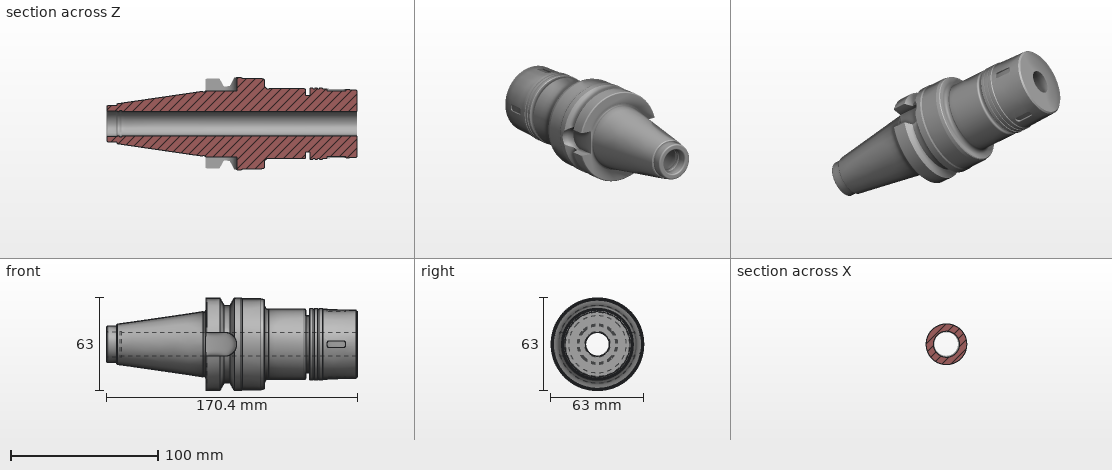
import cadquery as cq
import math


gauge_diameter = 44.45
taper_rate = 7 / 24
tail_x = -65.4
tail_diameter = 25.0
tail_fillet = 1.0
taper_start_x = -58.6
taper_start_chamfer = 0.5
relief_diameter = 43.5
relief_fillet = 1.6

flange_start_x = 2.0
flange_diameter = 63.0
flange_fillet = 0.8
groove_centre_x = 16.5
groove_bottom_width = 4.1
groove_bottom_diameter = 53.0
groove_flank_angle = math.radians(30)
rim_end_x = 26.0
body_start_x = 27.0
body_diameter = 62.0
body_end_x = 42.0
body_taper_length = 2.8
body_end_diameter = 61.0
body_end_chamfer = 0.5

neck_diameter = 48.0
neck_root_diameter = 47.6
neck_root_fillet = 2.5
neck_step_length = 0.7
neck_end_x = 70.0
neck_end_fillet = 1.2
throat_diameter = 39.0

nut_start_x = 72.6
collar_diameter = 48.8
collar_end_x = 81.6
collar_chamfer = 0.4
collar_groove_centres_x = (75.5, 78.5)
collar_groove_width = 1.0
collar_groove_diameter = 47.6
nut_large_diameter = 47.8
nut_small_diameter = 46.3
nut_end_x = 105.0
nut_end_chamfer = 1.0

bore_diameter = 16.0
tail_bore_diameter = 17.0
tail_bore_depth = 7.0
tail_bore_mouth_fillet = 1.0
bore_step_chamfer = (tail_bore_diameter - bore_diameter) / 2
bore_groove_diameter = 17.4
bore_groove_start_x = tail_x + 9.0
bore_groove_width = 1.2

drive_slot_width = 16.1
drive_slot_end_x = 23.0
drive_slot_floor = 22.6

wrench_slot_count = 4
wrench_slot_centre_x = 90.8
wrench_slot_length = 12.5
wrench_slot_width = 4.7
wrench_slot_corner = 1.6
wrench_slot_floor = 22.4


def revolve_outline(outline):
    """Close an open outline of (x, radius) and revolve it around the X axis."""
    return outline.close().revolve(360, (0, 0, 0), (1, 0, 0))


def revolve_profile(points):
    """Revolve (x, diameter) points around the X axis, closed along the axis."""
    outline = [(points[0][0], 0)]
    outline += [(x, diameter / 2) for x, diameter in points]
    outline.append((points[-1][0], 0))
    return revolve_outline(cq.Workplane("XY").polyline(outline))


def root_fillet_ring(tangent_x, face_x, shaft_diameter):
    """Concave fillet from a shaft, at tangent_x, up to a larger face at face_x."""
    fillet = abs(face_x - tangent_x)
    radius = shaft_diameter / 2
    corner_share = 1 - math.sqrt(0.5)
    middle = (face_x + (tangent_x - face_x) * corner_share, radius + fillet * corner_share)
    return revolve_outline(
        cq.Workplane("XY")
        .moveTo(face_x, 0)
        .lineTo(face_x, radius + fillet)
        .threePointArc(middle, (tangent_x, radius))
        .lineTo(tangent_x, 0)
    )


def make_shank():
    """Tail, taper and the relief ahead of the flange."""
    taper_start_diameter = gauge_diameter + taper_rate * taper_start_x
    tail = revolve_profile([(tail_x, tail_diameter), (taper_start_x, tail_diameter)])
    taper = revolve_profile([
        (taper_start_x, taper_start_diameter - 2 * taper_start_chamfer),
        (taper_start_x + taper_start_chamfer, taper_start_diameter + taper_rate * taper_start_chamfer),
        (0, gauge_diameter),
        (0, relief_diameter),
        (flange_start_x, relief_diameter),
    ])
    relief = root_fillet_ring(flange_start_x - relief_fillet, flange_start_x, relief_diameter)
    return tail.faces("<X").edges().fillet(tail_fillet).union(taper).union(relief)


def make_flange():
    """Flange with its V groove, and the plain body behind it."""
    half_bottom = groove_bottom_width / 2
    groove_depth = (flange_diameter - groove_bottom_diameter) / 2
    half_top = half_bottom + groove_depth * math.tan(groove_flank_angle)
    flange = revolve_profile([
        (flange_start_x, flange_diameter),
        (groove_centre_x - half_top, flange_diameter),
        (groove_centre_x - half_bottom, groove_bottom_diameter),
        (groove_centre_x + half_bottom, groove_bottom_diameter),
        (groove_centre_x + half_top, flange_diameter),
        (rim_end_x, flange_diameter),
        (body_start_x, body_diameter),
        (body_end_x - body_taper_length, body_diameter),
        (body_end_x - body_end_chamfer, body_end_diameter),
        (body_end_x, body_end_diameter - 2 * body_end_chamfer),
    ])
    return flange.faces("<X").edges().fillet(flange_fillet)


def make_neck():
    """Neck with its fillet into the body, and the throat in front of the nut."""
    root_end_x = body_end_x + neck_root_fillet
    root = root_fillet_ring(root_end_x, body_end_x, neck_root_diameter)
    neck = revolve_profile([
        (root_end_x, neck_root_diameter),
        (root_end_x + neck_step_length, neck_diameter),
        (neck_end_x, neck_diameter),
    ])
    throat = revolve_profile([(neck_end_x, throat_diameter), (nut_start_x, throat_diameter)])
    return neck.faces(">X").edges().fillet(neck_end_fillet).union(root).union(throat)


def make_nut():
    """Collet nut: a grooved collar followed by a slightly tapered barrel."""
    points = [
        (nut_start_x, collar_diameter - 2 * collar_chamfer),
        (nut_start_x + collar_chamfer, collar_diameter),
    ]
    for centre_x in collar_groove_centres_x:
        start_x = centre_x - collar_groove_width / 2
        end_x = centre_x + collar_groove_width / 2
        points += [
            (start_x, collar_diameter),
            (start_x, collar_groove_diameter),
            (end_x, collar_groove_diameter),
            (end_x, collar_diameter),
        ]
    points += [
        (collar_end_x - collar_chamfer, collar_diameter),
        (collar_end_x, nut_large_diameter),
        (nut_end_x - nut_end_chamfer, nut_small_diameter),
        (nut_end_x, nut_small_diameter - 2 * nut_end_chamfer),
    ]
    return revolve_profile(points)


def make_bore():
    """Through bore with a larger, round-mouthed bore and a ring groove at the tail."""
    step_x = tail_x + tail_bore_depth
    groove_end_x = bore_groove_start_x + bore_groove_width
    bore = revolve_profile([
        (tail_x, tail_bore_diameter),
        (step_x, tail_bore_diameter),
        (step_x + bore_step_chamfer, bore_diameter),
        (bore_groove_start_x, bore_diameter),
        (bore_groove_start_x, bore_groove_diameter),
        (groove_end_x, bore_groove_diameter),
        (groove_end_x, bore_diameter),
        (nut_end_x, bore_diameter),
    ])
    mouth = root_fillet_ring(tail_x + tail_bore_mouth_fillet, tail_x, tail_bore_diameter)
    return bore.union(mouth)


def make_drive_slot():
    """Round-ended slot open to the front of the flange, on the -Y side."""
    end_radius = drive_slot_width / 2
    straight_end_x = drive_slot_end_x - end_radius
    return (
        cq.Workplane("XZ", origin=(0, -drive_slot_floor, 0))
        .moveTo(0, -end_radius)
        .lineTo(straight_end_x, -end_radius)
        .threePointArc((drive_slot_end_x, 0), (straight_end_x, end_radius))
        .lineTo(0, end_radius)
        .close()
        .extrude(flange_diameter / 2)
    )


def make_wrench_slot():
    """Rounded pocket in the nut, on the -Y side."""
    return (
        cq.Workplane("XZ", origin=(wrench_slot_centre_x, -wrench_slot_floor, 0))
        .rect(wrench_slot_length, wrench_slot_width)
        .extrude(nut_large_diameter / 2)
        .edges("|Y")
        .fillet(wrench_slot_corner)
    )


def around_axis(shape, index, count):
    """Turn a shape to one of several even positions around the X axis."""
    return shape.rotate((0, 0, 0), (1, 0, 0), 360 / count * index)


result = make_shank().union(make_flange()).union(make_neck()).union(make_nut())
result = result.cut(make_bore())

for side in range(2):
    result = result.cut(around_axis(make_drive_slot(), side, 2))

for position in range(wrench_slot_count):
    result = result.cut(around_axis(make_wrench_slot(), position, wrench_slot_count))